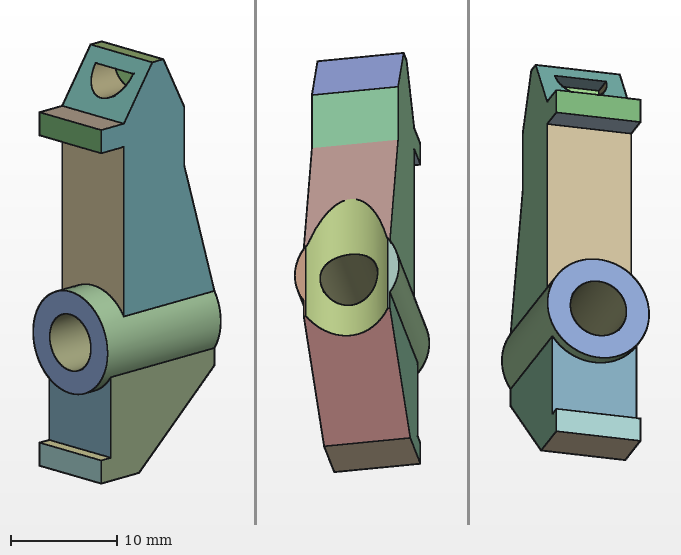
import cadquery as cq

height = 40.0
depth = 15.0
body_width = 8.3
boss_diameter = 10.0
bore_diameter = 5.5
pivot_height = 13.0

upper_face_y = 3.0
lower_face_y = 1.3
lip_thickness = 2.3
shoulder_height = 34.75
foot_depth = 5.0
back_bottom_z = 8.5
back_top_z = 15.85
neck_y = 11.0
neck_z = 29.0
tip_front_y = 6.75
tip_back_y = 8.25

pocket_radius = 2.5
pocket_top_z = 38.7
pocket_floor_y = 8.25

groove_radius = 5.2
groove_depth = 1.8


def make_body():
    """Lever profile with a lip at each end of its front face."""
    points = [
        (0, 0),
        (foot_depth, 0),
        (depth, back_bottom_z),
        (depth, back_top_z),
        (neck_y, neck_z),
        (neck_y, shoulder_height),
        (tip_back_y, height),
        (tip_front_y, height),
        (upper_face_y, shoulder_height),
        (0, shoulder_height),
        (0, shoulder_height - lip_thickness),
        (upper_face_y, shoulder_height - lip_thickness),
        (upper_face_y, pivot_height),
        (lower_face_y, pivot_height),
        (lower_face_y, lip_thickness),
        (0, lip_thickness),
    ]
    return cq.Workplane("YZ").polyline(points).close().extrude(body_width / 2, both=True)


def pivot_cylinder(diameter):
    """Full-depth cylinder on the pivot axis, parallel to Y."""
    return (
        cq.Workplane("XZ")
        .center(0, pivot_height)
        .circle(diameter / 2)
        .extrude(-depth)
    )


def make_pocket():
    """Half-round cutter with an upright floor inside the tip."""
    return (
        cq.Workplane("XZ")
        .moveTo(-pocket_radius, pocket_top_z)
        .threePointArc((0, pocket_top_z - pocket_radius), (pocket_radius, pocket_top_z))
        .close()
        .extrude(-pocket_floor_y)
    )


def make_groove():
    """Upright cylinder that hollows the back along the full height."""
    axis_y = depth - groove_depth + groove_radius
    return cq.Workplane("XY").center(0, axis_y).circle(groove_radius).extrude(height)


result = (
    make_body()
    .union(pivot_cylinder(boss_diameter))
    .cut(pivot_cylinder(bore_diameter))
    .cut(make_pocket())
    .cut(make_groove())
)